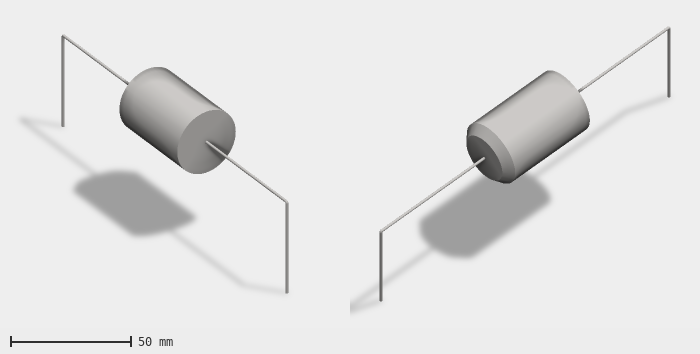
import cadquery as cq

can_diameter = 29.5
can_length = 46.3
chamfer_size = 3.8

wire_diameter = 1.2
bend_radius = 0.7
overall_length = 165.2
overall_height = 59.0

can_half_length = can_length / 2
lead_x = (overall_length - wire_diameter) / 2
lead_bottom_z = can_diameter / 2 - overall_height


def make_can():
    """Cylinder with a chamfer around its -X end."""
    cylinder = cq.Workplane("YZ", origin=(-can_half_length, 0, 0)).circle(can_diameter / 2).extrude(can_length)
    return cylinder.faces("<X").edges().chamfer(chamfer_size)


def make_lead(side):
    """Wire leaving the can end axially and bending down; side is -1 for -X or +1 for +X."""
    start_x = side * can_half_length
    path = (
        cq.Workplane("XZ")
        .moveTo(start_x, 0)
        .lineTo(side * (lead_x - bend_radius), 0)
        .tangentArcPoint((side * lead_x, -bend_radius), relative=False)
        .lineTo(side * lead_x, lead_bottom_z)
    )
    return cq.Workplane("YZ", origin=(start_x, 0, 0)).circle(wire_diameter / 2).sweep(path)


can = make_can()
leads = [make_lead(side) for side in (-1, 1)]

result = cq.Compound.makeCompound([can.val(), *[lead.val() for lead in leads]])